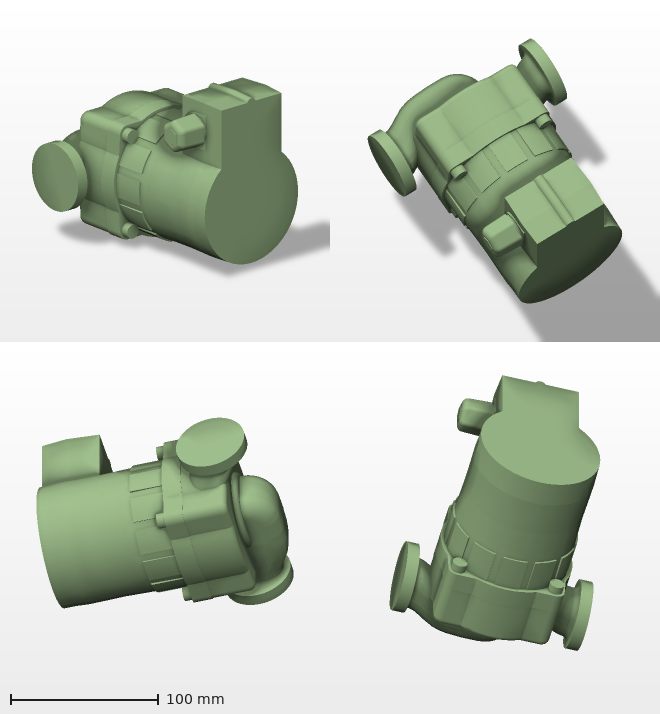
import cadquery as cq
import math


COLLAR_FRONT_X = 22.0
CASING_FRONT_X = 26.0
FLANGE_FRONT_X = 56.4
FLANGE_BACK_X = 69.5
PAD_END_X = 92.6
COVER_FRONT_X = 115.9
BOX_FRONT_X = 118.0
PARTING_X = 141.0
REAR_X = 158.3

FLANGE_BULGE_RADIUS = 46.2
CASING_BULGE_RADIUS = 45.7
FLANGE_HALF_HEIGHT = 41.2
CASING_HALF_HEIGHT = 40.5
CORNER_HALF_WIDTH = 40.4
FLANGE_MIDDLE_HALF_WIDTH = 41.5
CASING_MIDDLE_HALF_WIDTH = 41.0
MIDDLE_HALF_SPAN = 20.5
CORNER_RADIUS = 6.3
CASING_EDGE_RADIUS = 4.0
COLLAR_RADIUS = 26.1
COLLAR_EDGE_RADIUS = 3.8

PORT_X = 30.4
PORT_FLANGE_RADIUS = 23.9
PORT_FLANGE_THICKNESS = 8.4
PORT_FACE_Y = 64.98
PORT_BACK_Y = PORT_FACE_Y - PORT_FLANGE_THICKNESS
NECK_FILLET = 2.8
NECK_SELECTION_MARGIN = 3.2
NECK_SELECTION_DEPTH = 0.2
ELBOW_RADIUS = 21.5
ELBOW_CENTRE_Y = -2.4
ELBOW_HALF_HEIGHT = 19.5
PIPE_CORNER_RADIUS = 11.1
INLET_BEND_Y = -14.2
INLET_DEPTH = 36.4

INLET_SECTIONS = [
    (-PORT_BACK_Y, 10.8, 43.2, -14.4, 14.4),
    (-51.5, 10.5, 42.9, -14.5, 14.5),
    (-39.5, 4.3, 35.6, -16.5, 16.5),
    (-26.9, 0.6, 35.1, -18.7, 18.7),
    (INLET_BEND_Y, 0.0, INLET_DEPTH, -ELBOW_HALF_HEIGHT, ELBOW_HALF_HEIGHT),
]
OUTLET_SECTIONS = [
    (PORT_BACK_Y, 15.0, 46.7, -14.9, 14.2),
    (52.2, 16.1, 47.5, -15.4, 13.8),
    (44.3, 20.5, 50.5, -18.2, 10.8),
    (31.7, 30.0, 55.4, -26.9, 0.0),
]

STATOR_FRONT_RADIUS = 43.0
STATOR_BACK_RADIUS = 42.0
PAD_RADIUS = 43.8
PAD_COUNT = 12
PAD_ANGLE = 22.5
PAD_ROOT_RADIUS = 31.7
SCREW_BOSS_LENGTH = 5.7
SCREW_BOSS_RADIUS = 5.0
SCREW_BOSS_OFFSET = 34.0

COVER_PARTING_RADIUS = 42.5
COVER_END_RADIUS = 41.8
BOX_HALF_WIDTH = 27.9
BOX_TOP_Z = 75.2
BOX_DRAFT = 1.0
BOX_RIB_RADIUS = 4.0
BOX_RIB_RISE = 2.5
GLAND_X = 133.8
GLAND_Z = 54.0
GLAND_PAD_RADIUS = 12.3
GLAND_PAD_LENGTH = 10.3
GLAND_PAD_Y = -28.7
GLAND_NECK_RADIUS = 10.8
GLAND_HEXAGON_Y = -30.0
GLAND_END_Y = -50.3
GLAND_BUTTON_Y = -50.8
GLAND_HALF_FLATS = 11.0
GLAND_BUTTON_HALF_FLATS = 5.0
GLAND_TAPER = 2.0
GLAND_CORNER_RADIUS = 2.8
GLAND_END_RADIUS = 4.1


def x_disc(x_start, x_end, radius, y=0.0, z=0.0):
    """Cylinder along X between two stations."""
    return cq.Workplane("YZ", origin=(x_start, y, z)).circle(radius).extrude(x_end - x_start)


def bulged_block(x_start, x_end, half_height, middle_half_width, bulge_radius):
    """Rounded square block with a round bulge in the middle of every side."""
    right_side = [
        (CORNER_HALF_WIDTH, -half_height),
        (middle_half_width, -MIDDLE_HALF_SPAN),
        (middle_half_width, MIDDLE_HALF_SPAN),
        (CORNER_HALF_WIDTH, half_height),
    ]
    left_side = [(-y, -z) for y, z in right_side]
    square = cq.Workplane("YZ", origin=(x_start, 0, 0)).polyline(right_side + left_side).close()
    square = square.extrude(x_end - x_start)
    square = square.edges("|X").edges(">Z or <Z").fillet(CORNER_RADIUS)
    return square.union(x_disc(x_start, x_end, bulge_radius))


def pipe_block(y_start, y_end, x_min, x_max, z_min, z_max):
    """Straight rounded-square stretch of pipe running toward -Y."""
    centre = ((x_min + x_max) / 2, y_start, (z_min + z_max) / 2)
    block = cq.Workplane("XZ", origin=centre).rect(x_max - x_min, z_max - z_min).extrude(y_start - y_end)
    return block.edges("|Y").fillet(PIPE_CORNER_RADIUS)


def pipe_wire(y, x_min, x_max, z_min, z_max):
    """Rounded-square pipe outline in the plane at y."""
    block = pipe_block(y, y - 1.6, x_min, x_max, z_min, z_max)
    return block.faces(">Y").wires().val()


def pipe(sections):
    """Smooth pipe through a row of sections."""
    wires = [pipe_wire(*section) for section in sections]
    return cq.Workplane(cq.Solid.makeLoft(wires))


def port(sections, side):
    """Pipe with its round connection flange; side is -1 for the -Y port and +1 for the +Y port."""
    plane = cq.Plane(origin=(PORT_X, side * PORT_BACK_Y, 0), xDir=(1, 0, 0), normal=(0, side, 0))
    flange = cq.Workplane(plane).circle(PORT_FLANGE_RADIUS).extrude(PORT_FLANGE_THICKNESS)
    joined = flange.union(pipe(sections))
    reach = PORT_FLANGE_RADIUS - NECK_SELECTION_MARGIN
    neck = cq.selectors.BoxSelector(
        (PORT_X - reach, side * PORT_BACK_Y - NECK_SELECTION_DEPTH, -reach),
        (PORT_X + reach, side * PORT_BACK_Y + NECK_SELECTION_DEPTH, reach),
        boundingbox=True,
    )
    return joined.edges(neck).fillet(NECK_FILLET)


def make_casing():
    block = bulged_block(
        CASING_FRONT_X,
        FLANGE_FRONT_X,
        CASING_HALF_HEIGHT,
        CASING_MIDDLE_HALF_WIDTH,
        CASING_BULGE_RADIUS,
    )
    block = block.faces("<X").edges().fillet(CASING_EDGE_RADIUS)
    collar = x_disc(COLLAR_FRONT_X, FLANGE_FRONT_X, COLLAR_RADIUS)
    collar = collar.faces("<X").edges().fillet(COLLAR_EDGE_RADIUS)
    disc = (
        cq.Workplane("XY", origin=(ELBOW_RADIUS, ELBOW_CENTRE_Y, 0))
        .circle(ELBOW_RADIUS)
        .extrude(ELBOW_HALF_HEIGHT, both=True)
        .edges()
        .fillet(PIPE_CORNER_RADIUS)
    )
    middle_plane = cq.Workplane("XZ", origin=(0, ELBOW_CENTRE_Y, 0))
    elbow = disc.copyWorkplane(middle_plane).split(keepBottom=True)
    straight = pipe_block(
        ELBOW_CENTRE_Y, INLET_BEND_Y, 0, INLET_DEPTH, -ELBOW_HALF_HEIGHT, ELBOW_HALF_HEIGHT
    )
    casing = block.union(collar).union(elbow).union(straight)
    casing = casing.union(port(INLET_SECTIONS, -1))
    return casing.union(port(OUTLET_SECTIONS, 1))


def make_pad(angle):
    """Raised pad on the stator, centred at an angle about the motor axis."""
    half = math.radians(PAD_ANGLE / 2)
    y = math.sin(half)
    z = math.cos(half)
    pad = (
        cq.Workplane("YZ", origin=(FLANGE_BACK_X, 0, 0))
        .moveTo(-PAD_ROOT_RADIUS * y, PAD_ROOT_RADIUS * z)
        .lineTo(-PAD_RADIUS * y, PAD_RADIUS * z)
        .threePointArc((0, PAD_RADIUS), (PAD_RADIUS * y, PAD_RADIUS * z))
        .lineTo(PAD_ROOT_RADIUS * y, PAD_ROOT_RADIUS * z)
        .close()
        .extrude(PAD_END_X - FLANGE_BACK_X)
    )
    return pad.rotate((0, 0, 0), (1, 0, 0), angle)


def make_stator():
    stator = bulged_block(
        FLANGE_FRONT_X,
        FLANGE_BACK_X,
        FLANGE_HALF_HEIGHT,
        FLANGE_MIDDLE_HALF_WIDTH,
        FLANGE_BULGE_RADIUS,
    )
    drum = (
        cq.Workplane("XY")
        .polyline([
            (FLANGE_FRONT_X, 0),
            (FLANGE_FRONT_X, STATOR_FRONT_RADIUS),
            (FLANGE_BACK_X, STATOR_FRONT_RADIUS),
            (COVER_FRONT_X, STATOR_BACK_RADIUS),
            (COVER_FRONT_X, 0),
        ])
        .close()
        .revolve(360, (0, 0, 0), (1, 0, 0))
    )
    stator = stator.union(drum)
    for index in range(PAD_COUNT):
        stator = stator.union(make_pad(index * 360 / PAD_COUNT))
    boss_end_x = FLANGE_BACK_X + SCREW_BOSS_LENGTH
    for y in (-SCREW_BOSS_OFFSET, SCREW_BOSS_OFFSET):
        for z in (-SCREW_BOSS_OFFSET, SCREW_BOSS_OFFSET):
            boss = x_disc(FLANGE_FRONT_X, boss_end_x, SCREW_BOSS_RADIUS, y, z)
            stator = stator.union(boss)
    return stator


def box_section(x, inset):
    """Outline of the terminal box with its lid rib, drawn in by an inset."""
    half = BOX_HALF_WIDTH - inset
    top = BOX_TOP_Z - inset
    rib_drop = BOX_RIB_RADIUS - BOX_RIB_RISE
    rib_half = math.sqrt(BOX_RIB_RADIUS**2 - rib_drop**2)
    return (
        cq.Workplane("YZ", origin=(x, 0, 0))
        .moveTo(-half, 0)
        .lineTo(-half, top)
        .lineTo(-rib_half, top)
        .threePointArc((0, top + BOX_RIB_RISE), (rib_half, top))
        .lineTo(half, top)
        .lineTo(half, 0)
        .close()
        .val()
    )


def gland_hexagon(y_start, y_end, half_flats, taper):
    """Hexagonal prism on the gland axis with corners at the top and bottom."""
    return (
        cq.Workplane("XZ", origin=(GLAND_X, y_start, GLAND_Z))
        .polygon(6, 2 * half_flats, circumscribed=True)
        .extrude(y_start - y_end, taper=taper)
    )


def make_gland():
    """Cable gland on the -Y side of the terminal box: pad and tapered hexagon."""
    pad = (
        cq.Workplane("XZ", origin=(GLAND_X, 0, GLAND_Z))
        .moveTo(GLAND_PAD_LENGTH, GLAND_PAD_RADIUS)
        .lineTo(0, GLAND_PAD_RADIUS)
        .threePointArc((-GLAND_PAD_RADIUS, 0), (0, -GLAND_PAD_RADIUS))
        .lineTo(GLAND_PAD_LENGTH, -GLAND_PAD_RADIUS)
        .close()
        .extrude(-GLAND_PAD_Y)
    )
    neck = (
        cq.Workplane("XZ", origin=(GLAND_X, 0, GLAND_Z))
        .circle(GLAND_NECK_RADIUS)
        .extrude(-GLAND_HEXAGON_Y)
    )
    hexagon = gland_hexagon(GLAND_HEXAGON_Y, GLAND_END_Y, GLAND_HALF_FLATS, GLAND_TAPER)
    hexagon = hexagon.edges("not #Y").fillet(GLAND_CORNER_RADIUS)
    hexagon = hexagon.faces("<Y").edges().fillet(GLAND_END_RADIUS)
    button = gland_hexagon(GLAND_HEXAGON_Y, GLAND_BUTTON_Y, GLAND_BUTTON_HALF_FLATS, 0)
    return pad.union(neck).union(hexagon).union(button)


def make_control_unit():
    cover = (
        cq.Workplane("XY")
        .polyline([
            (COVER_FRONT_X, 0),
            (COVER_FRONT_X, STATOR_BACK_RADIUS),
            (PARTING_X, COVER_PARTING_RADIUS),
            (REAR_X, COVER_END_RADIUS),
            (REAR_X, 0),
        ])
        .close()
        .revolve(360, (0, 0, 0), (1, 0, 0))
    )
    sections = [
        box_section(BOX_FRONT_X, BOX_DRAFT),
        box_section(PARTING_X, 0),
        box_section(REAR_X, BOX_DRAFT),
    ]
    box = cq.Workplane(cq.Solid.makeLoft(sections, True))
    return cover.union(box).union(make_gland())


casing = make_casing()
stator = make_stator()
control_unit = make_control_unit()

result = cq.Compound.makeCompound([casing.val(), stator.val(), control_unit.val()])